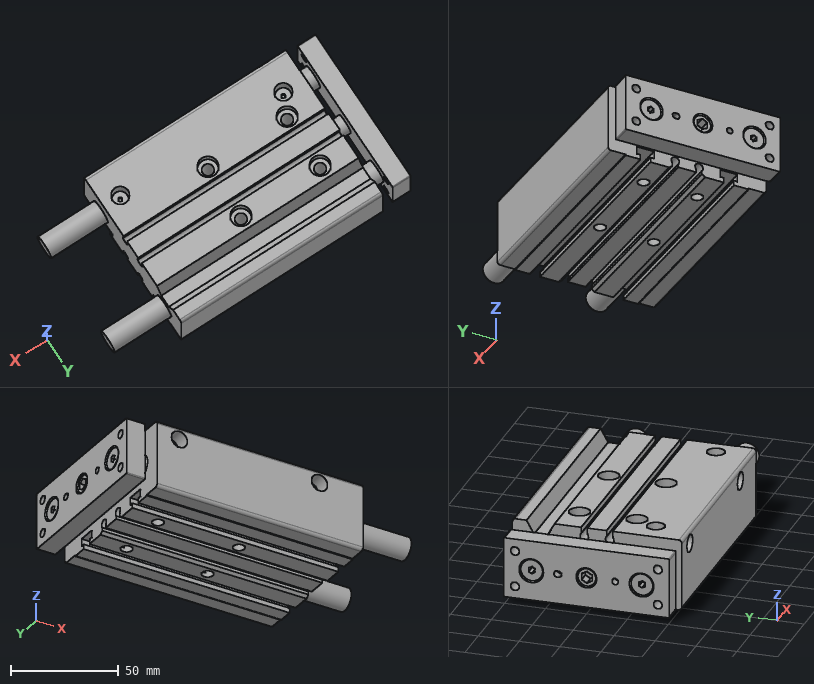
import cadquery as cq
import math

TOTAL_LENGTH = 159.5

HOUSING_START = 16.0
HOUSING_LENGTH = 112.1
HOUSING_WIDTH = 83.0
HOUSING_HEIGHT = 36.0
HOUSING_END = HOUSING_START + HOUSING_LENGTH
HOUSING_TOP = HOUSING_HEIGHT / 2
HOUSING_BOTTOM = -HOUSING_HEIGHT / 2
HOUSING_FRONT = -HOUSING_WIDTH / 2
EDGE_RADIUS = 1.6

RELIEF_DEPTH = 0.5
RELIEF_INNER_Y = 32.2
CHANNEL_DEPTH = 1.5
CHANNEL_HALF_FLOOR = 7.7
CHANNEL_HALF_MOUTH = 9.4

TRAPEZOID_Y = 27.6
TRAPEZOID_MOUTH = 13.7
TRAPEZOID_FLOOR = 6.4
TRAPEZOID_DEPTH = 6.5

SENSOR_SLOT_Y = 6.2
SENSOR_NECK = 3.0
SENSOR_DIAMETER = 4.1
SENSOR_AXIS_Z = 13.5

T_SLOT_Y = 21.9
T_SLOT_NECK = 5.3
T_SLOT_HEAD = 9.0
T_SLOT_LIP = 2.5
T_SLOT_DEPTH = 6.4

MOUNT_XS = (33.0, 77.0)
MOUNT_Y = 14.0
MOUNT_DIAMETER = 5.7
MOUNT_BORE_DIAMETER = 10.0
MOUNT_BORE_DEPTH = 6.0

PORT_MOUTH = 8.6
PORT_FLOOR = 7.8
PORT_DEPTH = 8.0
PILOT_DIAMETER = 2.0
PILOT_DEPTH = 2.4
TOP_PORT_XS = (28.0, 118.7)
TOP_PORT_Y = -24.9
FRONT_PORT_XS = (28.0, 104.3)
FRONT_PORT_Z = 11.5

PLATE_THICKNESS = 10.0
PLATE_WIDTH = 81.0
PLATE_HEIGHT = 30.0
PLATE_EDGE_RADIUS = 0.5
GUIDE_ROD_DIAMETER = 12.0
GUIDE_ROD_Y = 27.0
PISTON_ROD_DIAMETER = 10.0
REAR_WALL = 16.0
PISTON_ROD_END = HOUSING_END - REAR_WALL

CORNER_HOLE_Y = 35.0
CORNER_HOLE_Z = 9.0
CORNER_HOLE_DIAMETER = 4.1
DOWEL_Y = 14.0
DOWEL_DIAMETER = 3.0
DOWEL_SLOT_LENGTH = 3.7
DOWEL_DEPTH = 4.8
GUIDE_RECESS_FLOOR = 10.7
PISTON_RECESS_FLOOR = 8.8
RECESS_DEPTH = 0.6
GUIDE_SOCKET_FLATS = 3.0
PISTON_SOCKET_FLATS = 5.1
SOCKET_DEPTH = 6.4


def cylinder(diameter, length, start, direction):
    solid = cq.Solid.makeCylinder(diameter / 2, length, cq.Vector(*start), cq.Vector(*direction))
    return cq.Workplane(solid)


def cone(start_diameter, end_diameter, length, start, direction):
    solid = cq.Solid.makeCone(
        start_diameter / 2, end_diameter / 2, length, cq.Vector(*start), cq.Vector(*direction)
    )
    return cq.Workplane(solid)


def housing_prism(points):
    """Extrude a (Y, Z) outline over the whole housing length."""
    plane = cq.Workplane("YZ", origin=(HOUSING_START, 0, 0))
    return plane.polyline(points).close().extrude(HOUSING_LENGTH)


def housing_strip(y_center, width, z_low, z_high):
    left = y_center - width / 2
    right = y_center + width / 2
    return housing_prism([(left, z_low), (right, z_low), (right, z_high), (left, z_high)])


def trapezoid_groove():
    floor_z = HOUSING_TOP - TRAPEZOID_DEPTH
    return housing_prism([
        (TRAPEZOID_Y - TRAPEZOID_MOUTH / 2, HOUSING_TOP),
        (TRAPEZOID_Y - TRAPEZOID_FLOOR / 2, floor_z),
        (TRAPEZOID_Y + TRAPEZOID_FLOOR / 2, floor_z),
        (TRAPEZOID_Y + TRAPEZOID_MOUTH / 2, HOUSING_TOP),
    ])


def middle_channel():
    floor_z = HOUSING_BOTTOM + CHANNEL_DEPTH
    return housing_prism([
        (-CHANNEL_HALF_MOUTH, HOUSING_BOTTOM),
        (-CHANNEL_HALF_FLOOR, floor_z),
        (CHANNEL_HALF_FLOOR, floor_z),
        (CHANNEL_HALF_MOUTH, HOUSING_BOTTOM),
    ])


def sensor_slot(y, side):
    """Keyhole slot opening upward (side = 1) or downward (side = -1)."""
    axis_z = side * SENSOR_AXIS_Z
    neck = housing_strip(y, SENSOR_NECK, *sorted((axis_z, side * HOUSING_TOP)))
    return neck.union(cylinder(SENSOR_DIAMETER, HOUSING_LENGTH, (HOUSING_START, y, axis_z), (1, 0, 0)))


def t_slot(y):
    lip_z = HOUSING_BOTTOM + T_SLOT_LIP
    neck = housing_strip(y, T_SLOT_NECK, HOUSING_BOTTOM, lip_z)
    return neck.union(housing_strip(y, T_SLOT_HEAD, lip_z, HOUSING_BOTTOM + T_SLOT_DEPTH))


def mounting_hole(x, y):
    hole = cylinder(MOUNT_DIAMETER, HOUSING_HEIGHT, (x, y, HOUSING_BOTTOM), (0, 0, 1))
    return hole.union(cylinder(MOUNT_BORE_DIAMETER, MOUNT_BORE_DEPTH, (x, y, HOUSING_TOP), (0, 0, -1)))


def air_port(mouth, direction):
    taper = cone(PORT_MOUTH, PORT_FLOOR, PORT_DEPTH, mouth, direction)
    return taper.union(cylinder(PILOT_DIAMETER, PORT_DEPTH + PILOT_DEPTH, mouth, direction))


def build_rods():
    """Guide rods and piston rod, starting at the back of the plate."""
    rods = cylinder(
        PISTON_ROD_DIAMETER, PISTON_ROD_END - PLATE_THICKNESS, (PLATE_THICKNESS, 0, 0), (1, 0, 0)
    )
    for side in (-1, 1):
        start = (PLATE_THICKNESS, side * GUIDE_ROD_Y, 0)
        rods = rods.add(cylinder(GUIDE_ROD_DIAMETER, TOTAL_LENGTH - PLATE_THICKNESS, start, (1, 0, 0)))
    return rods.combine()


def build_housing():
    housing = cq.Workplane("XY").box(HOUSING_LENGTH, HOUSING_WIDTH, HOUSING_HEIGHT)
    housing = housing.translate((HOUSING_START + HOUSING_LENGTH / 2, 0, 0))
    relief_width = HOUSING_WIDTH / 2 - RELIEF_INNER_Y
    relief_y = RELIEF_INNER_Y + relief_width / 2
    for side in (-1, 1):
        housing = housing.cut(
            housing_strip(side * relief_y, relief_width, HOUSING_BOTTOM, HOUSING_BOTTOM + RELIEF_DEPTH)
        )
    housing = housing.edges("|X and (<Y or >Y)").fillet(EDGE_RADIUS)

    housing = housing.cut(trapezoid_groove()).cut(middle_channel())
    for side in (-1, 1):
        housing = housing.cut(t_slot(side * T_SLOT_Y))
        housing = housing.cut(sensor_slot(side * SENSOR_SLOT_Y, 1))
        housing = housing.cut(sensor_slot(side * SENSOR_SLOT_Y, -1))
        for x in MOUNT_XS:
            housing = housing.cut(mounting_hole(x, side * MOUNT_Y))
    for x in TOP_PORT_XS:
        housing = housing.cut(air_port((x, TOP_PORT_Y, HOUSING_TOP), (0, 0, -1)))
    for x in FRONT_PORT_XS:
        housing = housing.cut(air_port((x, HOUSING_FRONT, FRONT_PORT_Z), (0, 1, 0)))
    return housing.cut(build_rods())


def rod_end_recess(y, mouth, floor, socket_flats):
    """Shallow conical recess with a blind hexagon socket in the plate front face."""
    recess = cone(mouth, floor, RECESS_DEPTH, (0, y, 0), (1, 0, 0))
    corner_radius = socket_flats / math.sqrt(3)
    corners = []
    for index in range(6):
        angle = math.pi / 2 + index * math.pi / 3
        corners.append((y + corner_radius * math.cos(angle), corner_radius * math.sin(angle)))
    socket = cq.Workplane("YZ").polyline(corners).close().extrude(SOCKET_DEPTH)
    return recess.union(socket)


def build_slider():
    plate = cq.Workplane("XY").box(PLATE_THICKNESS, PLATE_WIDTH, PLATE_HEIGHT)
    plate = plate.edges("|X").fillet(PLATE_EDGE_RADIUS)
    slider = plate.translate((PLATE_THICKNESS / 2, 0, 0)).union(build_rods())

    for y_side in (-1, 1):
        for z_side in (-1, 1):
            start = (0, y_side * CORNER_HOLE_Y, z_side * CORNER_HOLE_Z)
            slider = slider.cut(cylinder(CORNER_HOLE_DIAMETER, PLATE_THICKNESS, start, (1, 0, 0)))
        slider = slider.cut(
            rod_end_recess(y_side * GUIDE_ROD_Y, GUIDE_ROD_DIAMETER, GUIDE_RECESS_FLOOR, GUIDE_SOCKET_FLATS)
        )
    slider = slider.cut(rod_end_recess(0, PISTON_ROD_DIAMETER, PISTON_RECESS_FLOOR, PISTON_SOCKET_FLATS))

    dowel_hole = cylinder(DOWEL_DIAMETER, DOWEL_DEPTH, (0, -DOWEL_Y, 0), (1, 0, 0))
    slot_plane = cq.Workplane("YZ").center(DOWEL_Y, 0)
    dowel_slot = slot_plane.slot2D(DOWEL_SLOT_LENGTH, DOWEL_DIAMETER).extrude(DOWEL_DEPTH)
    return slider.cut(dowel_hole).cut(dowel_slot)


housing = build_housing()
slider = build_slider()

result = cq.Compound.makeCompound([housing.solids().val(), slider.solids().val()])